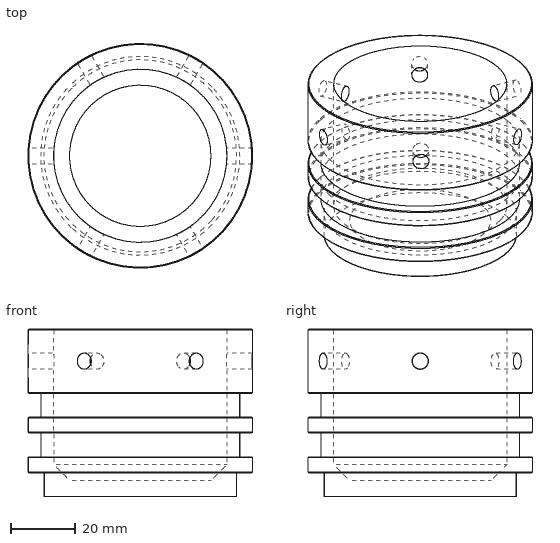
import cadquery as cq

collar_height = 20.0
ring_height = 5.0
total_height = 52.2
groove_height = (total_height - collar_height - 2 * ring_height) / 3

outer_diameter = 70.0
groove_diameter = 62.0
foot_diameter = 60.0
edge_chamfer = 0.3

bore_diameter = 54.0
floor_diameter = 44.0
floor_thickness = 5.0
cone_height = (bore_diameter - floor_diameter) / 2

hole_diameter = 5.0
hole_count = 6
hole_z = total_height - collar_height / 2


def cylinder(diameter, bottom, height):
    return cq.Workplane("XY").workplane(offset=bottom).circle(diameter / 2).extrude(height)


def flange(bottom, height):
    """Full-diameter disc with both rims chamfered."""
    return cylinder(outer_diameter, bottom, height).edges().chamfer(edge_chamfer)


def bore():
    """Revolved cavity, open at the top."""
    cone_top = floor_thickness + cone_height
    return (
        cq.Workplane("XZ")
        .moveTo(0, floor_thickness)
        .lineTo(floor_diameter / 2, floor_thickness)
        .lineTo(bore_diameter / 2, cone_top)
        .lineTo(bore_diameter / 2, total_height)
        .lineTo(0, total_height)
        .close()
        .revolve(360, (0, 0, 0), (0, 1, 0))
    )


def radial_hole(angle):
    """Hole from the axis outward through the collar wall."""
    hole = cq.Workplane("YZ").center(0, hole_z).circle(hole_diameter / 2).extrude(outer_diameter)
    return hole.rotate((0, 0, 0), (0, 0, 1), angle)


lower_ring_z = groove_height
upper_ring_z = lower_ring_z + ring_height + groove_height
collar_z = total_height - collar_height

body = cylinder(foot_diameter, 0, lower_ring_z + ring_height)
body = body.union(cylinder(groove_diameter, lower_ring_z + edge_chamfer, collar_z - lower_ring_z))
body = body.union(flange(lower_ring_z, ring_height))
body = body.union(flange(upper_ring_z, ring_height))
body = body.union(flange(collar_z, collar_height))

body = body.cut(bore())
for index in range(hole_count):
    body = body.cut(radial_hole(index * 360 / hole_count))

result = body